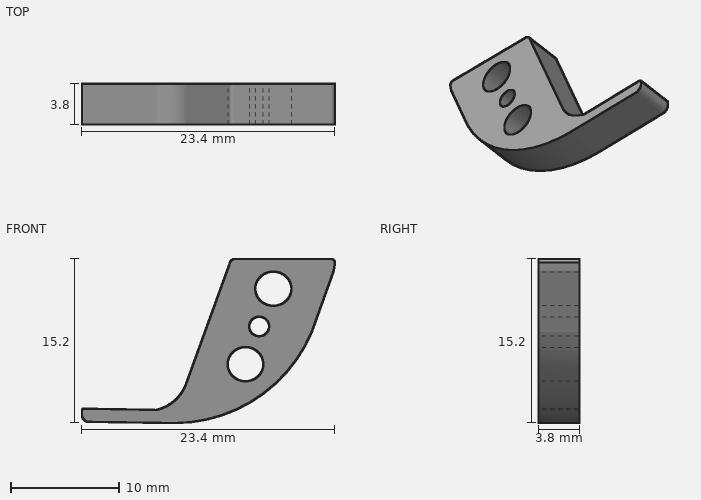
import cadquery as cq

length = 23.4
thickness = 3.8
height = 15.18

tail_top = 1.35
tail_root = (6.9, 1.25)
tail_bottom = 0.12
tip_side = 0.75
tip_top_radius = 0.19
tip_bottom_end = 0.55
tip_bottom_mid = (0.19, 0.3)

bend_mid = (8.63, 2.15)
bend_end = (9.57, 3.5)

back_top = (13.61, 14.67)
back_corner_mid = (13.78, 15.02)
top_start = 14.05
top_end = 23.06
nose_corner_mid = (23.27, 15.06)
nose_tip_height = 14.85
nose_base = (23.27, 14.08)

belly_top = (21.24, 8.42)
belly_mid = (16.58, 2.6)
belly_start = (8.65, 0.0)

holes = [
    ((17.68, 12.42), 3.32, 3.13),
    ((16.37, 8.93), 1.82, 1.78),
    ((15.1, 5.45), 3.27, 3.13),
]


def make_body():
    return (
        cq.Workplane("XZ")
        .moveTo(*belly_start)
        .threePointArc(belly_mid, belly_top)
        .lineTo(*nose_base)
        .lineTo(length, nose_tip_height)
        .threePointArc(nose_corner_mid, (top_end, height))
        .lineTo(top_start, height)
        .threePointArc(back_corner_mid, back_top)
        .lineTo(*bend_end)
        .threePointArc(bend_mid, tail_root)
        .lineTo(tip_top_radius, tail_top)
        .radiusArc((0, tail_top - tip_top_radius), -tip_top_radius)
        .lineTo(0, tip_side)
        .threePointArc(tip_bottom_mid, (tip_bottom_end, tail_bottom))
        .close()
        .extrude(thickness)
    )


def make_hole(center, width, hole_height):
    return (
        cq.Workplane("XZ")
        .center(*center)
        .ellipse(width / 2, hole_height / 2)
        .extrude(thickness)
    )


result = make_body()
for center, width, hole_height in holes:
    result = result.cut(make_hole(center, width, hole_height))